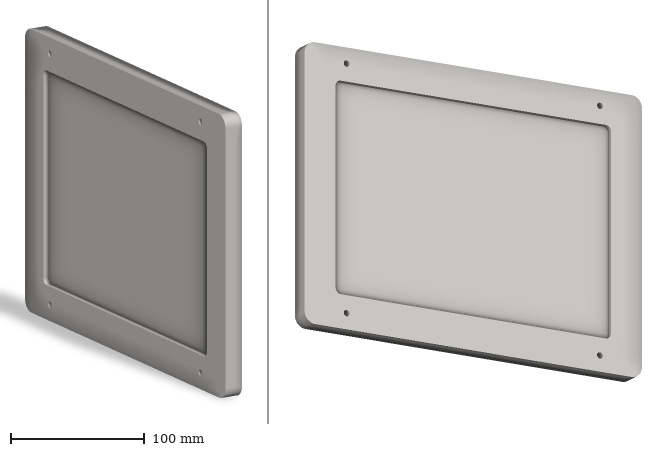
import cadquery as cq

width = 290.8
thickness = 14.5
height = 220.5
corner_radius = 9.0

rim_width = 26.8
pocket_depth = 4.5
pocket_corner_radius = 9.0 / 2

hole_diameter = 5.0
hole_depth = 8.7
hole_spacing_x = 218.5
hole_spacing_z = 195.0


def front_block(size_x, size_z, depth, radius):
    """Block with rounded corners reaching from the front face into the plate."""
    block = cq.Workplane("XY").box(size_x, depth, size_z)
    block = block.edges("|Y").fillet(radius)
    return block.translate((0, (depth - thickness) / 2, 0))


plate = front_block(width, height, thickness, corner_radius)
pocket = front_block(
    width - 2 * rim_width,
    height - 2 * rim_width,
    pocket_depth,
    pocket_corner_radius,
)

holes = (
    cq.Workplane("XZ", origin=(0, -thickness / 2, 0))
    .rect(hole_spacing_x, hole_spacing_z, forConstruction=True)
    .vertices()
    .circle(hole_diameter / 2)
    .extrude(-hole_depth)
)

result = plate.cut(pocket).cut(holes)